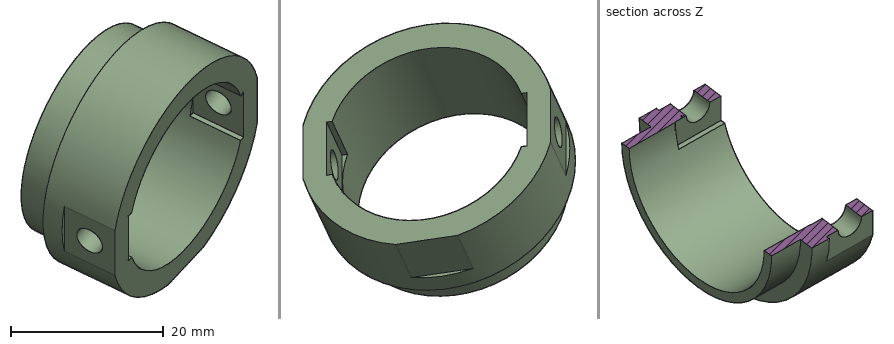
import cadquery as cq

total_length = 16.0
outer_diameter = 34.6
neck_diameter = 30.0
bore_diameter = 26.98
neck_length = 5.0

seat_length = 8.0
outer_flat_distance = 16.78
inner_flat_distance = 13.55
inner_flat_width = 8.4
screw_hole_diameter = 4.05
seat_angles = (0, 180)
plain_flat_angle = 90

seat_start = total_length - seat_length
hole_position = total_length - seat_length / 2
outer_radius = outer_diameter / 2


def cylinder_along_x(diameter, start, end):
    return cq.Workplane("YZ", origin=(start, 0, 0)).circle(diameter / 2).extrude(end - start)


def seat_block(near, far, width):
    """Block on the -Y side, between two distances from the ring axis."""
    return cq.Workplane("XY").box(seat_length, far - near, width).translate(
        (seat_start + seat_length / 2, -(near + far) / 2, 0)
    )


def outer_flat():
    """Material removed for one outside flat on the -Y side."""
    return seat_block(outer_flat_distance, outer_radius, outer_diameter)


def screw_seat():
    """Material removed for one screw hole with its outside flat and inside recess on the -Y side."""
    inner_recess = seat_block(0, inner_flat_distance, inner_flat_width)
    hole = (
        cq.Workplane("XZ", origin=(hole_position, 0, 0))
        .circle(screw_hole_diameter / 2)
        .extrude(outer_radius)
    )
    return outer_flat().union(inner_recess).union(hole)


def turned(tool, angle):
    return tool.rotate((0, 0, 0), (1, 0, 0), angle)


neck = cylinder_along_x(neck_diameter, 0, neck_length)
body = cylinder_along_x(outer_diameter, neck_length, total_length)
bore = cylinder_along_x(bore_diameter, 0, total_length)
result = neck.union(body).cut(bore)

for angle in seat_angles:
    result = result.cut(turned(screw_seat(), angle))

result = result.cut(turned(outer_flat(), plain_flat_angle))